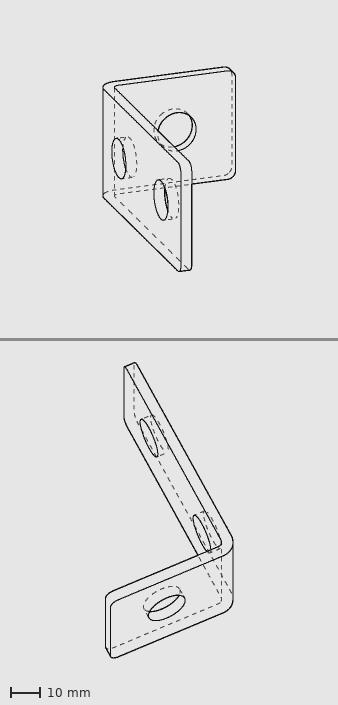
import cadquery as cq

length = 83.0
depth = 49.0
height = 40.0
thickness = 4.0

inner_bend_radius = 2.0
outer_bend_radius = inner_bend_radius + thickness
corner_radius = 3.0

hole_diameter = 14.0
first_hole_x = 21.0
hole_spacing = 42.0
short_leg_hole_y = 27.5


def bent_plate():
    """L-shaped plate with its outer bend corner at the origin."""
    plate = (
        cq.Workplane("XY")
        .polyline([
            (0, 0),
            (length, 0),
            (length, thickness),
            (thickness, thickness),
            (thickness, depth),
            (0, depth),
        ])
        .close()
        .extrude(height)
    )
    outer_bend = cq.selectors.NearestToPointSelector((0, 0, height / 2))
    inner_bend = cq.selectors.NearestToPointSelector((thickness, thickness, height / 2))
    plate = plate.edges("|Z").edges(inner_bend).fillet(inner_bend_radius)
    return plate.edges("|Z").edges(outer_bend).fillet(outer_bend_radius)


def round_leg_corners(plate):
    """Round the two free corners at the end of each leg."""
    plate = plate.faces(">X").edges("|Y").fillet(corner_radius)
    return plate.faces(">Y").edges("|X").fillet(corner_radius)


def hole_cutter(center, direction):
    """Cylinder through one leg, starting on its outer face."""
    return cq.Workplane(
        cq.Solid.makeCylinder(hole_diameter / 2, thickness, cq.Vector(*center), cq.Vector(*direction))
    )


result = round_leg_corners(bent_plate())

for hole_x in (first_hole_x, first_hole_x + hole_spacing):
    result = result.cut(hole_cutter((hole_x, 0, height / 2), (0, 1, 0)))

result = result.cut(hole_cutter((0, short_leg_hole_y, height / 2), (1, 0, 0)))